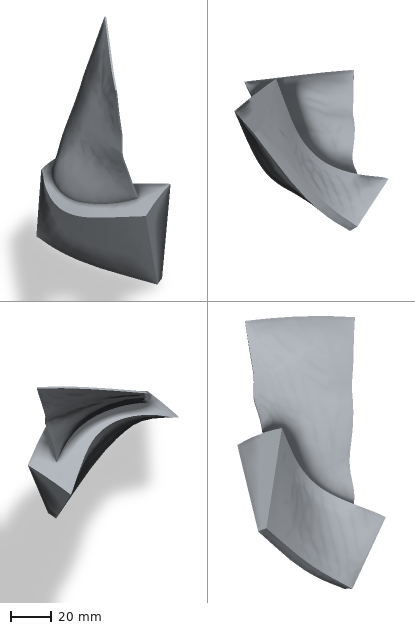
import cadquery as cq
import math

BLADE_COUNT = 16
PITCH_ANGLE = 360 / BLADE_COUNT
AXIAL_LENGTH = 70.07
BORE_RADIUS = 12.6

HUB_STATIONS = [
    (0.0, 52.8, 7.4),
    (5.0, 53.4, -0.2),
    (10.0, 54.3, -7.3),
    (17.0, 55.9, -14.1),
    (23.0, 57.6, -17.8),
    (29.0, 59.5, -19.8),
    (36.0, 61.8, -20.6),
    (43.0, 63.6, -20.0),
    (50.0, 65.0, -18.5),
    (56.0, 66.1, -16.9),
    (63.0, 67.3, -15.0),
    (AXIAL_LENGTH, 68.4, -13.0),
]

LEADING_FOOT_X, LEADING_FOOT_Z = 5.0, 53.6
LEADING_TIP_X, LEADING_TIP_Z = 26.3, 149.2

BLADE_SECTIONS = [
    (46.0, 11.0, 61.5, -4.6, 12.6, 7.0, 1.5),
    (58.0, 11.0, 61.0, -4.8, 12.9, 6.6, 1.4),
    (68.0, 11.2, 60.0, -5.4, 11.7, 6.0, 1.2),
    (78.0, 11.4, 58.4, -8.0, 7.9, 4.4, 0.9),
    (87.0, 13.8, 57.4, -10.4, 6.0, 3.6, 0.8),
    (96.5, 16.4, 56.7, -13.7, 5.0, 3.2, 0.8),
    (106.5, 17.9, 56.3, -14.7, 4.0, 2.8, 0.8),
    (117.0, 18.9, 56.2, -15.3, 3.0, 2.3, 0.8),
    (125.0, 20.8, 56.0, -16.8, 2.0, 1.9, 0.8),
    (133.0, 22.3, 56.0, -18.0, 1.5, 1.6, 0.8),
    (141.0, 23.8, 56.0, -19.2, 1.0, 1.3, 0.8),
    (149.0, 25.5, 56.0, -20.5, 0.5, 1.0, 0.8),
    (154.0, 26.5, 56.0, -21.2, 0.3, 1.0, 0.8),
]

TIP_FRONT_RADIUS = 153.1
TIP_REAR_RADIUS = 147.0


def polar_point(radius, angle):
    """Point in a plane normal to X, as (y, z), with the angle measured from +Z towards +Y."""
    turn = math.radians(angle)
    return (radius * math.sin(turn), radius * math.cos(turn))


def hub_sector(x, radius, start_angle):
    """Annular sector of the hub at one axial position."""
    middle_angle = start_angle + PITCH_ANGLE / 2
    end_angle = start_angle + PITCH_ANGLE
    sector = (
        cq.Workplane("YZ", origin=(x, 0, 0))
        .moveTo(*polar_point(BORE_RADIUS, start_angle))
        .lineTo(*polar_point(radius, start_angle))
        .threePointArc(polar_point(radius, middle_angle), polar_point(radius, end_angle))
        .lineTo(*polar_point(BORE_RADIUS, end_angle))
        .threePointArc(polar_point(BORE_RADIUS, middle_angle), polar_point(BORE_RADIUS, start_angle))
        .close()
    )
    return sector.val()


def make_hub():
    """Hub segment with radial side walls that follow the curve of the blade."""
    sectors = [hub_sector(*station) for station in HUB_STATIONS]
    return cq.Solid.makeLoft(sectors)


def blade_section(z, leading_y, trailing_x, trailing_y, camber, mid_thickness, edge_thickness):
    """Crescent of two arcs joined by blunt edges, bowed towards -X and -Y."""
    slope = (LEADING_TIP_X - LEADING_FOOT_X) / (LEADING_TIP_Z - LEADING_FOOT_Z)
    leading = cq.Vector(LEADING_FOOT_X + slope * (z - LEADING_FOOT_Z), leading_y, z)
    trailing = cq.Vector(trailing_x, trailing_y, z)
    chord_direction = (trailing - leading).normalized()
    bow = cq.Vector(chord_direction.y, -chord_direction.x, 0)
    middle = (leading + trailing) * 0.5 + bow * camber
    half_edge = bow * (edge_thickness / 2)
    half_middle = bow * (mid_thickness / 2)
    outer = cq.Edge.makeThreePointArc(leading + half_edge, middle + half_middle, trailing + half_edge)
    trailing_end = cq.Edge.makeLine(trailing + half_edge, trailing - half_edge)
    inner = cq.Edge.makeThreePointArc(trailing - half_edge, middle - half_middle, leading - half_edge)
    leading_end = cq.Edge.makeLine(leading - half_edge, leading + half_edge)
    return cq.Wire.assembleEdges([outer, trailing_end, inner, leading_end])


def make_blade():
    """Twisted blade, trimmed at the tip by the turned envelope of the rotor."""
    sections = [blade_section(*section) for section in BLADE_SECTIONS]
    untrimmed = cq.Workplane(cq.Solid.makeLoft(sections))
    envelope = (
        cq.Workplane("XZ")
        .polyline([(0, 0), (0, TIP_FRONT_RADIUS), (AXIAL_LENGTH, TIP_REAR_RADIUS), (AXIAL_LENGTH, 0)])
        .close()
        .revolve(360, (0, 0), (1, 0))
    )
    return untrimmed.intersect(envelope)


result = cq.Workplane(make_hub()).union(make_blade())